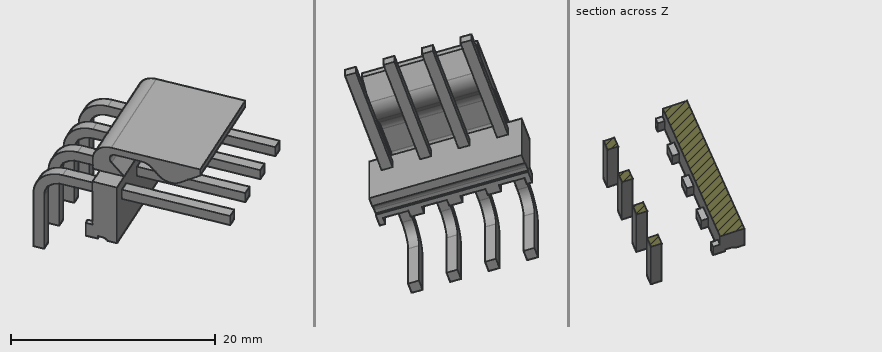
import cadquery as cq
import math


pin_count = 4
pitch = 3.96
pin_size = 1.13
pin_row_offset_y = -0.05
pin_length_x = 20.71
pin_rear_x = -6.74
pin_top_z = 5.7
tail_tip_z = -3.94
bend_outer_radius = 3.05
bend_inner_radius = bend_outer_radius - pin_size

body_depth = 2.58
body_width = 15.7
body_height = 6.88

foot_depth = 0.73
foot_height = 1.58
foot_width = 1.38
end_foot_width = 0.58

groove_rear_x = 0.56
groove_front_x = 1.63
groove_depth = 0.3
groove_radius = 0.75

overall_height = 13.97
ramp_top_z = overall_height + tail_tip_z
ramp_rear_x = -foot_depth
ramp_length = 11.3
ramp_width = (pin_count - 1) * pitch
ramp_outer_radius = 1.9
ramp_thickness = 0.78
tip_thickness = 0.76
throat_radius = 0.59
shoulder_radius = 1.5
bulge_x = 7.46
bulge_drop = 2.51
bulge_radius = 1.78

diagonal_up = 45
straight_up = 90
bend_middle = 135
straight_back = 180
straight_down = -90
diagonal_down = -135


def polar(center, radius, angle):
    """Point on a circle, with the angle in degrees from +X."""
    a = math.radians(angle)
    return (center[0] + radius * math.cos(a), center[1] + radius * math.sin(a))


def extrude_across(profile, width, center_y=0):
    """Extrude a closed XZ outline along Y, centred on center_y."""
    return profile.extrude(width / 2, both=True).translate((0, center_y, 0))


def box_between(x_min, x_max, width, z_min, z_max, center_y=0):
    """Box between two X and two Z limits, centred on center_y."""
    profile = cq.Workplane("XZ").moveTo(x_min, z_min).lineTo(x_max, z_min)
    profile = profile.lineTo(x_max, z_max).lineTo(x_min, z_max).close()
    return extrude_across(profile, width, center_y)


def make_pin(center_y):
    bend_center = (pin_rear_x + bend_outer_radius, pin_top_z - bend_outer_radius)
    front_x = pin_rear_x + pin_length_x
    inner_x = pin_rear_x + pin_size
    bottom_z = pin_top_z - pin_size
    profile = (
        cq.Workplane("XZ")
        .moveTo(pin_rear_x, tail_tip_z)
        .lineTo(pin_rear_x, bend_center[1])
        .threePointArc(polar(bend_center, bend_outer_radius, bend_middle), (bend_center[0], pin_top_z))
        .lineTo(front_x, pin_top_z)
        .lineTo(front_x, bottom_z)
        .lineTo(bend_center[0], bottom_z)
        .threePointArc(polar(bend_center, bend_inner_radius, bend_middle), (inner_x, bend_center[1]))
        .lineTo(inner_x, tail_tip_z)
        .close()
    )
    return extrude_across(profile, pin_size, center_y)


def make_body():
    body = box_between(0, body_depth, body_width, 0, body_height)
    for gap in range(1, pin_count):
        foot_y = (gap - pin_count / 2) * pitch
        body = body.union(box_between(-foot_depth, 0, foot_width, 0, foot_height, foot_y))
    for side in (-1, 1):
        foot_y = side * (body_width - end_foot_width) / 2
        body = body.union(box_between(-foot_depth, 0, end_foot_width, 0, foot_height, foot_y))
    return body


def make_groove():
    arc_run = math.sqrt(groove_radius**2 - (groove_radius - groove_depth) ** 2)
    arc_center = (groove_front_x - arc_run, groove_depth - groove_radius)
    end_angle = math.degrees(math.asin((groove_radius - groove_depth) / groove_radius))
    arc_middle = polar(arc_center, groove_radius, (straight_up + end_angle) / 2)
    profile = (
        cq.Workplane("XZ")
        .moveTo(groove_rear_x, 0)
        .lineTo(groove_rear_x, groove_depth)
        .lineTo(arc_center[0], groove_depth)
        .threePointArc(arc_middle, (groove_front_x, 0))
        .close()
    )
    return extrude_across(profile, body_width)


def make_ramp():
    tip_x = ramp_rear_x + ramp_length
    tip = (tip_x, ramp_top_z - tip_thickness)
    under_z = ramp_top_z - ramp_thickness
    outer_center = (ramp_rear_x + ramp_outer_radius, ramp_top_z - ramp_outer_radius)

    throat_z = under_z - throat_radius
    throat_x = body_depth - (throat_z - body_height) + math.sqrt(2) * throat_radius
    throat_center = (throat_x, throat_z)

    bulge_center = (bulge_x, ramp_top_z - bulge_drop + bulge_radius)
    shoulder_z = under_z - shoulder_radius
    shoulder_gap = math.sqrt(2) * (shoulder_radius + bulge_radius)
    shoulder_x = bulge_center[0] + bulge_center[1] - shoulder_z - shoulder_gap
    shoulder_center = (shoulder_x, shoulder_z)
    to_tip_x = tip[0] - bulge_center[0]
    to_tip_z = tip[1] - bulge_center[1]
    tip_direction = math.degrees(math.atan2(to_tip_z, to_tip_x))
    tangent_offset = math.degrees(math.acos(bulge_radius / math.hypot(to_tip_x, to_tip_z)))
    bulge_end_angle = tip_direction - tangent_offset

    profile = (
        cq.Workplane("XZ")
        .moveTo(ramp_rear_x, body_height)
        .lineTo(ramp_rear_x, outer_center[1])
        .threePointArc(polar(outer_center, ramp_outer_radius, bend_middle), (outer_center[0], ramp_top_z))
        .lineTo(tip_x, ramp_top_z)
        .lineTo(*tip)
        .lineTo(*polar(bulge_center, bulge_radius, bulge_end_angle))
        .threePointArc(
            polar(bulge_center, bulge_radius, straight_down),
            polar(bulge_center, bulge_radius, diagonal_down),
        )
        .lineTo(*polar(shoulder_center, shoulder_radius, diagonal_up))
        .threePointArc(
            polar(shoulder_center, shoulder_radius, (straight_up + diagonal_up) / 2),
            (shoulder_x, under_z),
        )
        .lineTo(throat_x, under_z)
        .threePointArc(
            polar(throat_center, throat_radius, straight_back),
            polar(throat_center, throat_radius, diagonal_down),
        )
        .lineTo(body_depth, body_height)
        .close()
    )
    return extrude_across(profile, ramp_width)


result = make_body().cut(make_groove()).union(make_ramp())
for pin in range(pin_count):
    pin_y = pin_row_offset_y + (pin - (pin_count - 1) / 2) * pitch
    result = result.union(make_pin(pin_y))